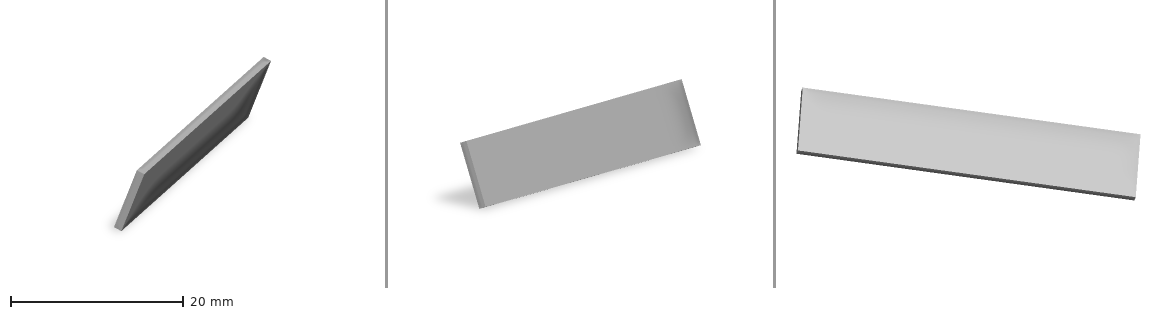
import cadquery as cq

LENGTH = 40.0
WIDTH = 8.0
THICKNESS = 1.0
TILT_DEGREES = 21.0


def tilted_strip():
    """Flat strip running along Y, leaning over about its own long axis."""
    upright = cq.Workplane("XY").box(THICKNESS, LENGTH, WIDTH)
    return upright.rotate((0, 0, 0), (0, 1, 0), TILT_DEGREES)


result = tilted_strip()